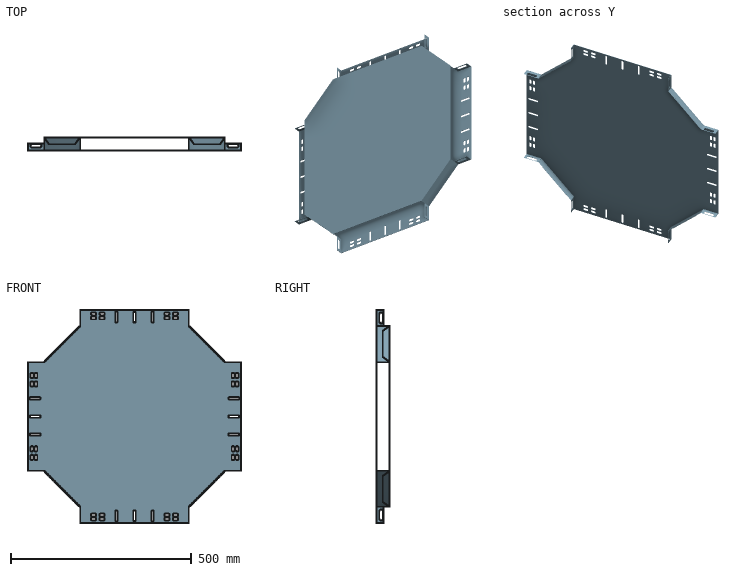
import cadquery as cq
import math

overall_size = 591.5
depth = 36.5
sheet = 0.9
arm_width = 301.5
arm_length = 45.0

half_size = overall_size / 2
half_arm = arm_width / 2
shoulder = half_size - arm_length

tab_depth = 20.0
tab_slot_length = 30.0
tab_slot_width = 9.0
tab_slot_height = 13.0

long_slot_length = 31.0
long_slot_width = 6.0
long_slot_pitch = 50.0
long_slot_inset = 20.0

short_slot_length = 15.0
short_slot_width = 7.0
short_slot_offsets = (90.0, 113.5)
short_slot_insets = (11.0, 22.5)

flap_depth = 19.0
flap_end_gap = 1.0

arm_angles = (0, 90, 180, 270)
corner_turn = 45
side_length = math.sqrt(2) * (shoulder - half_arm)
side_distance = (shoulder + half_arm) / math.sqrt(2)
wall_height = depth - sheet


def turned(shape, angle):
    """Turn a shape about the Y axis, the centre line of the junction."""
    return shape.rotate((0, 0, 0), (0, 1, 0), angle)


def plate(outline, front):
    """A sheet with an outline of (x, z) points, its front face at the given Y."""
    return cq.Workplane("XZ", origin=(0, front, 0)).polyline(outline).close().extrude(-sheet)


def base_plate():
    """Flat cross with a slanted edge between neighbouring arms."""
    outline = [
        (half_arm, half_size), (half_arm, shoulder), (shoulder, half_arm), (half_size, half_arm),
        (half_size, -half_arm), (shoulder, -half_arm), (half_arm, -shoulder), (half_arm, -half_size),
        (-half_arm, -half_size), (-half_arm, -shoulder), (-shoulder, -half_arm), (-half_size, -half_arm),
        (-half_size, half_arm), (-shoulder, half_arm), (-half_arm, shoulder), (-half_arm, half_size),
    ]
    return plate(outline, 0)


def arm_slots():
    """Cutters for all slots in the arm that points to +Z."""
    long_places = [(i * long_slot_pitch, half_size - long_slot_inset) for i in (-1, 0, 1)]
    short_places = [
        (side * offset, half_size - inset)
        for side in (-1, 1)
        for offset in short_slot_offsets
        for inset in short_slot_insets
    ]
    face = cq.Workplane("XZ")
    long_slots = face.pushPoints(long_places).slot2D(long_slot_length, long_slot_width, 90).extrude(-sheet)
    short_slots = face.pushPoints(short_places).slot2D(short_slot_length, short_slot_width).extrude(-sheet)
    return long_slots.add(short_slots).combine()


def arm_tabs():
    """The two slotted tabs of the arm that points to +Z."""
    middle = half_size - arm_length / 2
    tabs = (
        cq.Workplane("XY", origin=(0, 0, shoulder))
        .pushPoints([(side * (half_arm - sheet / 2), tab_depth / 2) for side in (-1, 1)])
        .rect(sheet, tab_depth)
        .extrude(arm_length)
    )
    slot = (
        cq.Workplane("YZ", origin=(0, tab_slot_height, middle))
        .slot2D(tab_slot_length, tab_slot_width, 90)
        .extrude(half_arm, both=True)
    )
    return tabs.cut(slot)


def corner_wall():
    """Wall standing on the slanted edge between the +Z and +X arms, flush with that edge."""
    flat = (
        cq.Workplane("XY", origin=(0, 0, side_distance - sheet))
        .center(0, wall_height / 2)
        .rect(side_length, wall_height)
        .extrude(sheet)
    )
    return turned(flat, corner_turn)


def corner_flap():
    """Tapered flap of the cover, lying against the outside of one corner wall."""
    half_side = side_length / 2 - flap_end_gap
    tip_height = depth - flap_depth
    half_tip = half_side - (wall_height - tip_height)
    flat = (
        cq.Workplane("XY", origin=(0, 0, side_distance))
        .polyline([
            (-half_side, depth), (half_side, depth), (half_side, wall_height),
            (half_tip, tip_height), (-half_tip, tip_height), (-half_side, wall_height),
        ])
        .close()
        .extrude(sheet)
    )
    return turned(flat, corner_turn)


def tray_base():
    """Slotted cross plate with its arm tabs and corner walls."""
    body = base_plate()
    for angle in arm_angles:
        body = body.cut(turned(arm_slots(), angle))
        body = body.union(turned(arm_tabs(), angle))
        body = body.union(turned(corner_wall(), angle))
    return body


def tray_cover():
    """Octagonal plate closing the back, with one flap at each corner wall."""
    outline = [
        (half_arm, shoulder), (shoulder, half_arm), (shoulder, -half_arm), (half_arm, -shoulder),
        (-half_arm, -shoulder), (-shoulder, -half_arm), (-shoulder, half_arm), (-half_arm, shoulder),
    ]
    body = plate(outline, wall_height)
    for angle in arm_angles:
        body = body.union(turned(corner_flap(), angle))
    return body


base = tray_base()
cover = tray_cover()
result = cq.Compound.makeCompound([base.val(), cover.val()])